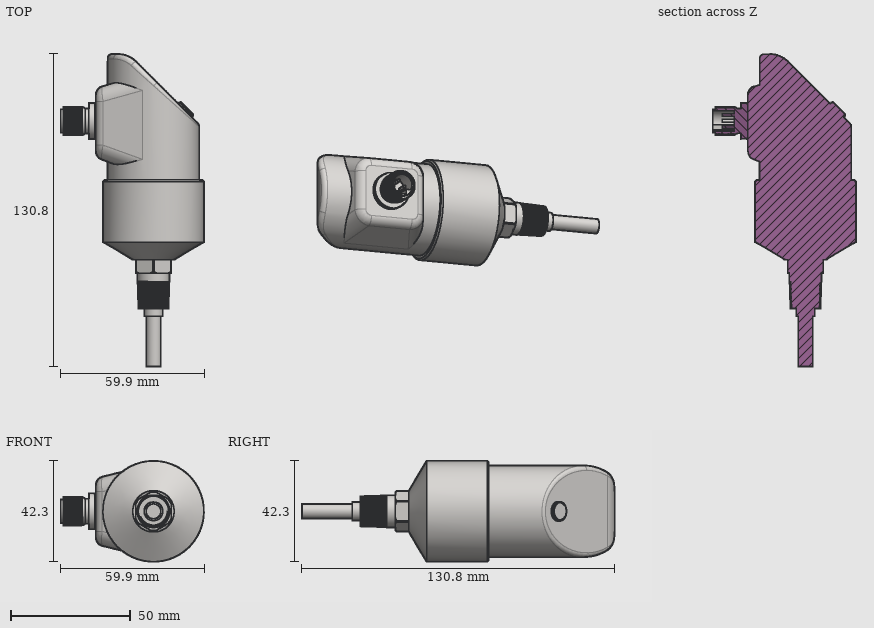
import cadquery as cq
import math


probe_end = 21.0
thread_start = 24.3
thread_end = 35.4
hex_start = 39.1
cone_start = 44.7
can_start = 52.1
can_end = 78.1
head_end = 130.8

probe_diameter = 6.2
collar_diameter = 7.8
thread_small_diameter = 12.7
thread_large_diameter = 13.4
shank_diameter = 13.6
hex_sides = 6
hex_across_flats = 15.0
hex_turned_diameter = 17.0
hex_chamfer = 0.5
cone_small_diameter = 17.3
can_diameter = 42.3
can_chamfer = 0.7
head_diameter = 38.5
head_radius = head_diameter / 2

thread_flank_angle = 30.0
groove_overshoot = 0.1

process_pitch = 0.95
process_groove_depth = 0.55

slope_angle = 45.0
slope_low_y = 101.1
slope_blend_radius = 11.0
head_edge_radius = 2.0

button_diameter = 8.2
button_height = 1.3
button_cap_diameter = 7.4
button_base_height = 0.8
button_x = 13.2

box_face_x = -24.15
box_side_angle = 14.0
box_upper_angle = 15.6
box_lower_angle = 19.8
box_face_upper_y = 116.5
box_face_lower_y = 87.45
box_corner_radius = 6.5
box_face_edge_radius = 3.9

plug_y = 102.75
overall_width = 59.95
plug_tip_x = can_diameter / 2 - overall_width
plug_thread_start_x = -37.8
plug_thread_end_x = -29.7
plug_neck_x = -28.5
flange_outer_x = -27.0
flange_inner_x = -24.65
plug_tip_diameter = 9.9
plug_thread_diameter = 12.0
plug_neck_diameter = 10.6
flange_diameter = 15.2
flange_seat_diameter = 14.6
plug_pitch = 1.0
plug_groove_depth = 0.55
socket_diameter = 8.5
socket_depth = 9.0
contact_count = 4
contact_diameter = 1.2
contact_circle_radius = 2.5
contact_length = 5.0
key_offset_y = 1.6
key_offset_z = 2.1


def thread_groove(start_radius, length, pitch, depth, taper_angle=360.0):
    """Helical V groove around +Z, starting at Z = 0; it stands on a cone of the taper
    half-angle, or on a plain cylinder when that is left at 360."""
    flank_half_width = (depth + groove_overshoot) * math.tan(math.radians(thread_flank_angle))
    helix = cq.Wire.makeHelix(pitch, length, start_radius, angle=taper_angle)
    return (
        cq.Workplane("XZ")
        .moveTo(start_radius - depth, 0)
        .lineTo(start_radius + groove_overshoot, flank_half_width)
        .lineTo(start_radius + groove_overshoot, -flank_half_width)
        .close()
        .sweep(cq.Workplane(obj=helix), isFrenet=True)
    )


def make_lower_housing():
    """Probe, collar, thread blank, cone and can, turned about the Y axis."""
    can_radius = can_diameter / 2
    turned = (
        cq.Workplane("YZ")
        .moveTo(0, 0)
        .lineTo(0, probe_diameter / 2)
        .lineTo(probe_end, probe_diameter / 2)
        .lineTo(probe_end, collar_diameter / 2)
        .lineTo(thread_start, collar_diameter / 2)
        .lineTo(thread_start, thread_small_diameter / 2)
        .lineTo(thread_end, thread_large_diameter / 2)
        .lineTo(thread_end, shank_diameter / 2)
        .lineTo(cone_start, shank_diameter / 2)
        .lineTo(cone_start, cone_small_diameter / 2)
        .lineTo(can_start, can_radius)
        .lineTo(can_end - can_chamfer, can_radius)
        .lineTo(can_end, can_radius - can_chamfer)
        .lineTo(can_end, 0)
        .close()
        .revolve(360, (0, 0, 0), (1, 0, 0))
    )
    return turned.cut(make_process_groove()).union(make_hex())


def make_process_groove():
    """Thread groove of the tapered process thread, widening toward the hexagon."""
    taper_rise = (thread_large_diameter - thread_small_diameter) / 2
    taper = math.degrees(math.atan(taper_rise / (thread_end - thread_start)))
    length = thread_end - thread_start
    groove = thread_groove(
        thread_small_diameter / 2, length, process_pitch, process_groove_depth, taper
    )
    return groove.rotate((0, 0, 0), (1, 0, 0), -90).translate((0, thread_start, 0))


def make_hex():
    """Wrench hexagon with turned corners and a chamfered lower edge, one corner toward +Z."""
    height = cone_start - hex_start
    half_side_angle = 180 / hex_sides
    across_corners = hex_across_flats / math.cos(math.radians(half_side_angle))
    envelope = cq.Workplane("XY").circle(hex_turned_diameter / 2).extrude(height)
    envelope = envelope.faces("<Z").chamfer(hex_chamfer)
    hexagon = (
        cq.Workplane("XY")
        .polygon(hex_sides, across_corners)
        .extrude(height)
        .rotate((0, 0, 0), (0, 0, 1), half_side_angle)
        .intersect(envelope)
    )
    return hexagon.rotate((0, 0, 0), (1, 0, 0), -90).translate((0, hex_start, 0))


def make_head():
    """Round head with a rounded crown that runs into a sloping face."""
    slope = math.radians(slope_angle)
    crown_corner_x = head_radius - (head_end - slope_low_y) / math.tan(slope)
    tangent_length = slope_blend_radius * math.tan(slope / 2)
    blend_start_x = crown_corner_x - tangent_length
    blend_end = (
        crown_corner_x + tangent_length * math.cos(slope),
        head_end - tangent_length * math.sin(slope),
    )
    blend_middle = (
        blend_start_x + slope_blend_radius * math.sin(slope / 2),
        head_end - slope_blend_radius * (1 - math.cos(slope / 2)),
    )
    profile = (
        cq.Workplane("XY")
        .moveTo(-head_radius, can_end)
        .lineTo(-head_radius, head_end)
        .lineTo(blend_start_x, head_end)
        .threePointArc(blend_middle, blend_end)
        .lineTo(head_radius, slope_low_y)
        .lineTo(head_radius, can_end)
        .close()
        .extrude(head_radius, both=True)
    )
    barrel = (
        cq.Workplane("YZ")
        .rect(head_end - can_end, head_radius, centered=False)
        .revolve(360, (0, 0, 0), (1, 0, 0))
        .translate((0, can_end, 0))
    )
    head = barrel.intersect(profile)
    return head.edges("(not %LINE) and (not <Y)").fillet(head_edge_radius)


def make_button():
    """Stepped round button standing square on the sloping face."""
    base = cq.Workplane("XY").circle(button_diameter / 2).extrude(button_base_height)
    cap = cq.Workplane("XY").circle(button_cap_diameter / 2).extrude(button_height)
    foot_y = slope_low_y + (head_radius - button_x) * math.tan(math.radians(slope_angle))
    return (
        base.union(cap)
        .rotate((0, 0, 0), (1, 0, 0), -90)
        .rotate((0, 0, 0), (0, 0, 1), -slope_angle)
        .translate((button_x, foot_y, 0))
    )


def make_box():
    """Tapered plug housing; its flanks run tangent into the round head."""
    side = math.radians(box_side_angle)
    tangent_x = -head_radius * math.sin(side)
    tangent_z = head_radius * math.cos(side)
    depth = tangent_x - box_face_x
    face_z = tangent_z - depth * math.tan(side)
    root_upper_y = box_face_upper_y + depth * math.tan(math.radians(box_upper_angle))
    root_lower_y = box_face_lower_y - depth * math.tan(math.radians(box_lower_angle))
    plan = (
        cq.Workplane("XY")
        .moveTo(box_face_x, box_face_lower_y)
        .lineTo(box_face_x, box_face_upper_y)
        .lineTo(tangent_x, root_upper_y)
        .lineTo(tangent_x, root_lower_y)
        .close()
        .extrude(tangent_z, both=True)
    )
    flanks = (
        cq.Workplane("XZ")
        .moveTo(box_face_x, -face_z)
        .lineTo(box_face_x, face_z)
        .lineTo(tangent_x, tangent_z)
        .lineTo(tangent_x, -tangent_z)
        .close()
        .extrude(-head_end)
    )
    box = plan.intersect(flanks)
    box = box.edges("not (<X or >X)").fillet(box_corner_radius)
    return box.faces("<X").edges().fillet(box_face_edge_radius)


def make_housing():
    """Complete housing as one solid, from the probe tip to the crown of the head."""
    return make_lower_housing().union(make_head()).union(make_box()).union(make_button())


def make_plug():
    """Round plug with a male thread, an open socket, a coding key and contacts."""

    def at(x, diameter):
        return (x - plug_tip_x, diameter / 2)

    outline = [
        (0, 0),
        at(plug_tip_x, plug_tip_diameter),
        at(plug_thread_start_x, plug_tip_diameter),
        at(plug_thread_start_x, plug_thread_diameter),
        at(plug_thread_end_x, plug_thread_diameter),
        at(plug_neck_x, plug_neck_diameter),
        at(flange_outer_x, plug_neck_diameter),
        at(flange_outer_x, flange_diameter),
        at(flange_inner_x, flange_diameter),
        at(flange_inner_x, flange_seat_diameter),
        at(box_face_x, flange_seat_diameter),
        at(box_face_x, 0),
    ]
    body = cq.Workplane("XY").polyline(outline).close().revolve(360, (0, 0, 0), (1, 0, 0))
    groove = thread_groove(
        plug_thread_diameter / 2,
        plug_thread_end_x - plug_thread_start_x,
        plug_pitch,
        plug_groove_depth,
    )
    groove = groove.rotate((0, 0, 0), (0, 1, 0), 90)
    groove = groove.translate((plug_thread_start_x - plug_tip_x, 0, 0))
    socket = cq.Workplane("YZ").circle(socket_diameter / 2).extrude(socket_depth)
    key = (
        cq.Workplane("YZ")
        .moveTo(-key_offset_y, -key_offset_z)
        .rect(-socket_diameter, -socket_diameter, centered=False)
        .extrude(socket_depth)
        .intersect(socket)
    )
    contacts = (
        cq.Workplane("YZ", origin=(socket_depth - contact_length, 0, 0))
        .polarArray(contact_circle_radius, 0, 360, contact_count)
        .circle(contact_diameter / 2)
        .extrude(contact_length)
    )
    plug = body.cut(groove).cut(socket.cut(key).cut(contacts))
    return plug.translate((plug_tip_x, plug_y, 0))


housing = make_housing()
plug = make_plug()
result = cq.Compound.makeCompound([housing.solids().val(), plug.solids().val()])